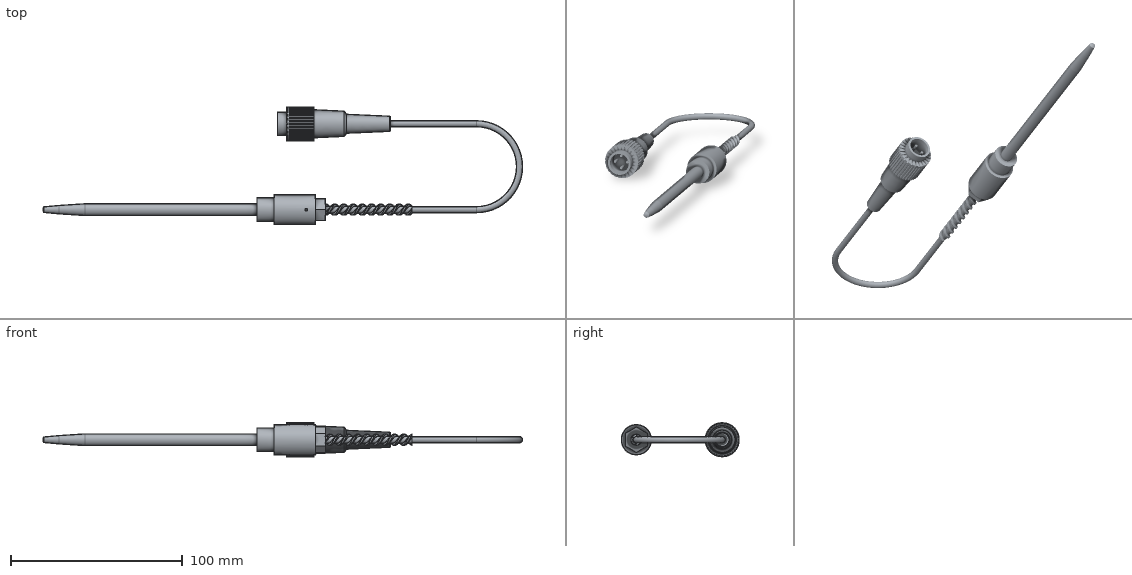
import cadquery as cq
import math

PLUG_Y = 50.0
CABLE_D = 3.5
OVERALL_LENGTH = 279.7
BEND_X = OVERALL_LENGTH - PLUG_Y / 2 - CABLE_D / 2
CABLE_ENTRY = 5.5

TIP_D = 3.4
TIP_DOME = 0.5
TIP_NECK_X = 9.5
TIP_NECK_D = 5.0
TIP_TAPER_END_X = 24.5
TIP_END_X = 30.0
ROD_D = 7.0
HANDLE_X = 124.8
COLLAR_D = 14.0
GRIP_X = 134.8
GRIP_D = 17.5
GRIP_END_X = 159.0
NUT_END_X = 164.8
NUT_FLATS = 13.0
SCREW_HOLE_X = 153.5
SCREW_HOLE_D = 1.5
SCREW_HOLE_DEPTH = 2.8

SLEEVE_END_X = 215.0
SLEEVE_CORE_D = 4.2
RIB_D = 6.5
RIB_COUNT = 2
RIB_LEAD = 10.75
RIB_CREST_ANGLE = 40
RIB_ROOT_ANGLE = 110

NOSE_X = 136.8
NOSE_D = 13.7
BORE_D = 11.2
BORE_DEPTH = 9.8
PIN_D = 1.5
PIN_CIRCLE_R = 3.5
PIN_COUNT = 4
PIN_LENGTH = 5.5
SHELL_D = 16.5
SHELL_SHOULDER_D = 14.8
SHELL_SHOULDER_X = 175.7
BOOT_X = 177.0
BOOT_D = 11.2
BOOT_END_X = 202.8
BOOT_END_D = 9.0
BOOT_CHAMFER = 0.5

RING_X = 142.0
RING_END_X = 158.0
RING_D = 20.0
KNURL_X = 143.8
KNURL_COUNT = 36
KNURL_DEPTH = 0.5
GROOVE_W = 1.0
GROOVE_ROOT_W = 0.42
GROOVE_OVERSHOOT = 0.3
FACE_SLOT_W = 0.8
FACE_SLOT_DEPTH = 0.8
FACE_SLOT_COUNT = 24


def turned(points, y=0.0):
    """Solid of revolution about an axis along X, from (x, radius) points."""
    outline = [(points[0][0], 0)] + points + [(points[-1][0], 0)]
    return (cq.Workplane("XY").polyline(outline).close()
            .revolve(360, (0, 0, 0), (1, 0, 0)).translate((0, y, 0)))


def cylinder(x0, x1, d, y=0.0):
    """Cylinder along X from x0 to x1."""
    return turned([(x0, d / 2), (x1, d / 2)], y)


def polar(d, angle):
    """Point at an angle in degrees on the circle of diameter d."""
    return (d / 2 * math.cos(math.radians(angle)), d / 2 * math.sin(math.radians(angle)))


def make_cable():
    """Cable from the nut, round a half circle and back into the boot."""
    start_x = NUT_END_X - CABLE_ENTRY
    path = (cq.Workplane("XY").moveTo(start_x, 0).lineTo(BEND_X, 0)
            .threePointArc((BEND_X + PLUG_Y / 2, PLUG_Y / 2), (BEND_X, PLUG_Y))
            .lineTo(BOOT_END_X - CABLE_ENTRY, PLUG_Y))
    return cq.Workplane("YZ", origin=(start_x, 0, 0)).circle(CABLE_D / 2).sweep(path)


def make_probe(cable):
    """Tip, rod, collar, grip and nut in one piece, with a socket for the cable."""
    dome_middle = (TIP_DOME * 0.3, TIP_D * 0.27)
    body = (cq.Workplane("XY").moveTo(0, 0)
            .threePointArc(dome_middle, (TIP_DOME, TIP_D / 2))
            .lineTo(TIP_NECK_X, TIP_NECK_D / 2)
            .lineTo(TIP_TAPER_END_X, ROD_D / 2)
            .lineTo(TIP_END_X, ROD_D / 2)
            .lineTo(HANDLE_X, ROD_D / 2)
            .lineTo(HANDLE_X, 0).close()
            .revolve(360, (0, 0, 0), (1, 0, 0)))
    body = body.union(cylinder(HANDLE_X, GRIP_X, COLLAR_D))
    body = body.union(cylinder(GRIP_X, GRIP_END_X, GRIP_D))
    nut = (cq.Workplane("YZ", origin=(GRIP_END_X, 0, 0))
           .polygon(6, NUT_FLATS, circumscribed=True).extrude(NUT_END_X - GRIP_END_X))
    body = body.union(nut)
    hole = (cq.Workplane("XY", origin=(SCREW_HOLE_X, 0, GRIP_D / 2 - SCREW_HOLE_DEPTH))
            .circle(SCREW_HOLE_D / 2).extrude(2 * SCREW_HOLE_DEPTH))
    return body.cut(hole).cut(cable)


def make_sleeve(cable):
    """Tube around the cable with helical ribs."""
    length = SLEEVE_END_X - NUT_END_X
    sleeve = cylinder(NUT_END_X, SLEEVE_END_X, SLEEVE_CORE_D)
    for i in range(RIB_COUNT):
        rib = (cq.Workplane("YZ", origin=(NUT_END_X, 0, 0))
               .moveTo(*polar(CABLE_D, -RIB_ROOT_ANGLE / 2))
               .lineTo(*polar(RIB_D, -RIB_CREST_ANGLE / 2))
               .threePointArc(polar(RIB_D, 0), polar(RIB_D, RIB_CREST_ANGLE / 2))
               .lineTo(*polar(CABLE_D, RIB_ROOT_ANGLE / 2))
               .close().twistExtrude(length, -360 * length / RIB_LEAD)
               .rotate((0, 0, 0), (1, 0, 0), 360 / RIB_COUNT * i))
        sleeve = sleeve.union(rib)
    return sleeve.cut(cable)


def make_pin(index):
    """Contact pin standing on the floor of the plug bore."""
    floor_x = NOSE_X + BORE_DEPTH
    y, z = polar(2 * PIN_CIRCLE_R, 360 / PIN_COUNT * index)
    return cylinder(floor_x - PIN_LENGTH, floor_x, PIN_D).translate((0, PLUG_Y + y, z))


def make_plug(cable):
    """Hollow nose, shell and boot in one piece, with a socket for the cable."""
    body = turned([(NOSE_X, NOSE_D / 2), (RING_END_X, NOSE_D / 2), (RING_END_X, SHELL_D / 2),
                   (SHELL_SHOULDER_X, SHELL_SHOULDER_D / 2), (BOOT_X, BOOT_D / 2),
                   (BOOT_END_X - BOOT_CHAMFER, BOOT_END_D / 2),
                   (BOOT_END_X, BOOT_END_D / 2 - BOOT_CHAMFER)], PLUG_Y)
    bore = cylinder(NOSE_X, NOSE_X + BORE_DEPTH, BORE_D, PLUG_Y)
    return body.cut(bore).cut(cable)


def make_ring():
    """Coupling ring with knurl grooves along its side and radial slots in its front face."""
    ring = cylinder(RING_X, RING_END_X, RING_D).cut(cylinder(RING_X, RING_END_X, NOSE_D))
    groove_top = RING_D / 2 + GROOVE_OVERSHOOT
    groove_root = RING_D / 2 - KNURL_DEPTH
    groove = (cq.Workplane("YZ", origin=(KNURL_X, 0, 0))
              .polyline([(-GROOVE_W / 2, groove_top), (GROOVE_W / 2, groove_top),
                         (GROOVE_ROOT_W / 2, groove_root), (-GROOVE_ROOT_W / 2, groove_root)])
              .close().extrude(RING_END_X - KNURL_X))
    for i in range(KNURL_COUNT):
        ring = ring.cut(groove.rotate((0, 0, 0), (1, 0, 0), 360 / KNURL_COUNT * i))
    slot = (cq.Workplane("XY").box(2 * FACE_SLOT_DEPTH, FACE_SLOT_W, RING_D)
            .translate((RING_X, 0, RING_D / 2)))
    for i in range(FACE_SLOT_COUNT):
        ring = ring.cut(slot.rotate((0, 0, 0), (1, 0, 0), 360 / FACE_SLOT_COUNT * i))
    return ring.translate((0, PLUG_Y, 0))


cable = make_cable()
probe = make_probe(cable)
sleeve = make_sleeve(cable)
plug = make_plug(cable)
ring = make_ring()
pins = [make_pin(i) for i in range(PIN_COUNT)]

result = cq.Compound.makeCompound([
    cable.val(),
    probe.val(),
    sleeve.val(),
    plug.val(),
    ring.val(),
    *[pin.val() for pin in pins],
])